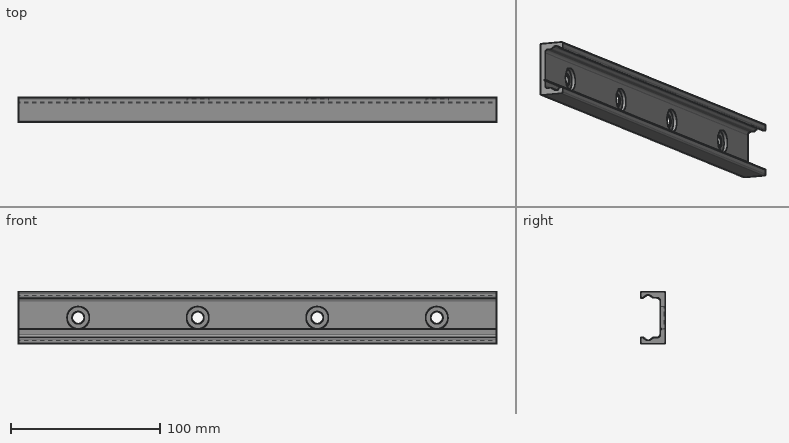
import math

import cadquery as cq

LENGTH = 320.0
DEPTH = 16.5
HEIGHT = 35.0

WEB_THICKNESS = 3.5
INNER_HEIGHT = 26.35
MOUTH_HEIGHT = 26.0
OUTER_FILLET = 1.0
WEB_FILLET = 2.0
LIP_RADIUS = 1.0

RACEWAY_SETBACK = 5.0
RACEWAY_ANGLE = 36.0
RACEWAY_RADIUS = 2.4
RACEWAY_EDGE_RADIUS = 1.0

GROOVE_Z = -7.5
GROOVE_WIDTH = 0.5
GROOVE_DEPTH = 0.5

HOLE_COUNT = 4
HOLE_PITCH = LENGTH / HOLE_COUNT
HOLE_DIAMETER = 8.0
COUNTERBORE_DIAMETER = 15.0
COUNTERBORE_DEPTH = 2.5

FRONT_Y = -DEPTH / 2
BACK_Y = DEPTH / 2
WEB_Y = BACK_Y - WEB_THICKNESS
TOP_Z = HEIGHT / 2


def point_on_circle(center, radius, angle):
    """Point (Y, Z) at an angle in degrees, measured from +Y toward +Z."""
    turn = math.radians(angle)
    return (center[0] + radius * math.cos(turn), center[1] + radius * math.sin(turn))


def add_arc(outline, center, radius, start_angle, end_angle):
    """Continue the outline with a straight line to an arc, then the arc."""
    middle_angle = (start_angle + end_angle) / 2
    return outline.lineTo(*point_on_circle(center, radius, start_angle)).threePointArc(
        point_on_circle(center, radius, middle_angle),
        point_on_circle(center, radius, end_angle),
    )


def make_upper_half():
    """Half of the C-shaped rail above Z = 0, open toward -Y."""
    slope = math.tan(math.radians(RACEWAY_ANGLE))
    stretch = 1 / math.cos(math.radians(RACEWAY_ANGLE))
    ceiling_z = INNER_HEIGHT / 2
    corner_z = TOP_Z - OUTER_FILLET
    back_corner = (BACK_Y - OUTER_FILLET, corner_z)
    front_corner = (FRONT_Y + OUTER_FILLET, corner_z)
    lip = (FRONT_Y + LIP_RADIUS, MOUTH_HEIGHT / 2 + LIP_RADIUS)

    raceway_y = FRONT_Y + RACEWAY_SETBACK
    apex_z = lip[1] + (raceway_y - lip[0]) * slope - LIP_RADIUS * stretch
    bottom = (raceway_y, apex_z - RACEWAY_RADIUS * stretch)
    edge_z = ceiling_z + RACEWAY_EDGE_RADIUS
    edge_offset = (apex_z + RACEWAY_EDGE_RADIUS * stretch - edge_z) / slope
    edge = (raceway_y + edge_offset, edge_z)
    web_corner = (WEB_Y - WEB_FILLET, ceiling_z - WEB_FILLET)

    outline = cq.Workplane("YZ").moveTo(BACK_Y, 0)
    outline = add_arc(outline, back_corner, OUTER_FILLET, 0, 90)
    outline = add_arc(outline, front_corner, OUTER_FILLET, 90, 180)
    outline = add_arc(outline, lip, LIP_RADIUS, 180, 270 + RACEWAY_ANGLE)
    outline = add_arc(outline, bottom, RACEWAY_RADIUS, 90 + RACEWAY_ANGLE, 90 - RACEWAY_ANGLE)
    outline = add_arc(outline, edge, RACEWAY_EDGE_RADIUS, 270 - RACEWAY_ANGLE, 270)
    outline = add_arc(outline, web_corner, WEB_FILLET, 90, 0)
    outline = outline.lineTo(WEB_Y, 0).close()
    return outline.extrude(LENGTH / 2, both=True)


def make_channel():
    """Complete C-shaped rail, symmetric about Z = 0."""
    upper_half = make_upper_half()
    return upper_half.union(upper_half.mirror("XY")).clean()


def make_groove():
    """Full-length bar that cuts the marking groove."""
    groove = cq.Workplane("XY").box(LENGTH, GROOVE_DEPTH, GROOVE_WIDTH)
    return groove.translate((0, WEB_Y + GROOVE_DEPTH / 2, GROOVE_Z))


def cut_mounting_holes(rail):
    """Counterbored holes, sunk from the inner face of the web."""
    web_face = cq.Plane(origin=(0, WEB_Y, 0), xDir=(1, 0, 0), normal=(0, -1, 0))
    holes = cq.Workplane(web_face).rarray(HOLE_PITCH, 1, HOLE_COUNT, 1)
    through = holes.circle(HOLE_DIAMETER / 2).extrude(-WEB_THICKNESS)
    counterbores = holes.circle(COUNTERBORE_DIAMETER / 2).extrude(-COUNTERBORE_DEPTH)
    return rail.cut(through).cut(counterbores)


result = cut_mounting_holes(make_channel().cut(make_groove()))